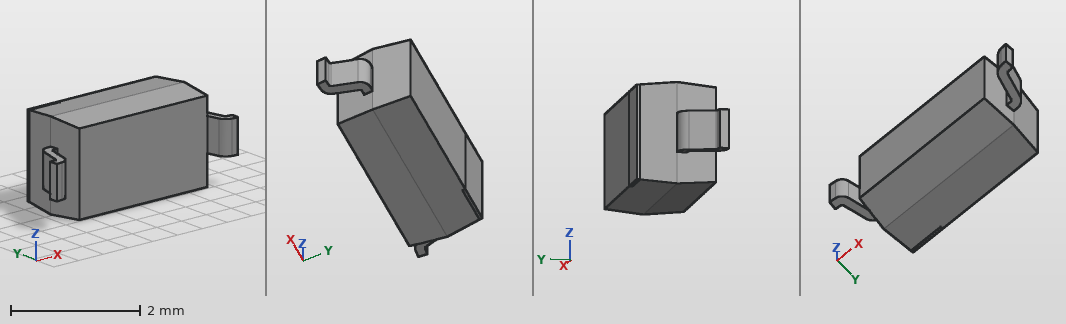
import cadquery as cq
import math

overall_length = 3.68
overall_depth = 1.35

housing_length = 2.697
housing_height = 1.6
half_depth = 0.625
draft_angle = 5.0

band_thickness = 0.048
band_end_x = -0.68

lead_thickness = 0.15
lead_width = 0.61
foot_length = 0.11
foot_angle = 5.0
leg_angle = 75.0
inner_bend_radius = 0.03
bend_radius = inner_bend_radius + lead_thickness / 2


def make_envelope():
    """Two drafted halves that meet at the parting plane."""
    halves = []
    for side in (1, -1):
        half = (
            cq.Workplane("XZ")
            .rect(housing_length, housing_height)
            .extrude(side * half_depth, taper=draft_angle)
        )
        halves.append(half)
    return halves[0].union(halves[1], clean=False)


def make_band_zone():
    """Block that covers the part of the envelope taken by the band."""
    band_start_x = -housing_length / 2
    return cq.Workplane("XY").box(
        band_end_x - band_start_x, band_thickness, housing_height, centered=(False, False, True)
    ).translate((band_start_x, half_depth - band_thickness, 0))


def along(point, angle, distance):
    """Point reached by moving a distance in the XY direction of the given angle."""
    turn = math.radians(angle)
    return (point[0] + distance * math.cos(turn), point[1] + distance * math.sin(turn))


def bend(start, start_angle, end_angle):
    """Middle and end points of a tangent arc that turns between two directions."""
    side = math.copysign(90, end_angle - start_angle)
    center = along(start, start_angle + side, bend_radius)
    middle = along(center, (start_angle + end_angle) / 2 - side, bend_radius)
    end = along(center, end_angle - side, bend_radius)
    return middle, end


def make_lead(envelope):
    """Lead at the -X end: foot, sloped leg and shoulder that butts on the housing."""
    foot_turn = math.radians(foot_angle)
    leg_turn = math.radians(leg_angle)
    half_thickness = lead_thickness / 2
    lowest_y = half_depth - overall_depth
    toe = (
        -overall_length / 2 + half_thickness * math.sin(foot_turn),
        lowest_y + half_thickness * math.cos(foot_turn),
    )

    total_rise = -half_thickness - toe[1]
    foot_rise = foot_length * math.sin(foot_turn)
    bend_rise = bend_radius * (math.cos(foot_turn) + 1 - 2 * math.cos(leg_turn))
    leg_length = (total_rise - foot_rise - bend_rise) / math.sin(leg_turn)

    heel = along(toe, foot_angle, foot_length)
    heel_middle, leg_start = bend(heel, foot_angle, leg_angle)
    leg_end = along(leg_start, leg_angle, leg_length)
    shoulder_middle, shoulder = bend(leg_end, leg_angle, 0)
    root = (-housing_length / 2 + half_thickness, shoulder[1])

    center_line = (
        cq.Workplane("XY")
        .moveTo(*toe)
        .lineTo(*heel)
        .threePointArc(heel_middle, leg_start)
        .lineTo(*leg_end)
        .threePointArc(shoulder_middle, shoulder)
        .lineTo(*root)
    )
    toe_plane = cq.Plane(
        origin=(*toe, 0),
        xDir=(0, 0, 1),
        normal=(math.cos(foot_turn), math.sin(foot_turn), 0),
    )
    strip = cq.Workplane(toe_plane).rect(lead_width, lead_thickness).sweep(center_line)
    return strip.cut(envelope)


envelope = make_envelope()
band_zone = make_band_zone()
housing = envelope.cut(band_zone)
band = envelope.intersect(band_zone)

leads = []
for turn_about_y in (0, 180):
    lead = make_lead(envelope).rotate((0, 0, 0), (0, 1, 0), turn_about_y)
    leads.append(lead.val())

solids = [housing.solids().val(), band.solids().val()]
for lead in leads:
    solids.extend(lead.Solids())
result = cq.Compound.makeCompound(solids)